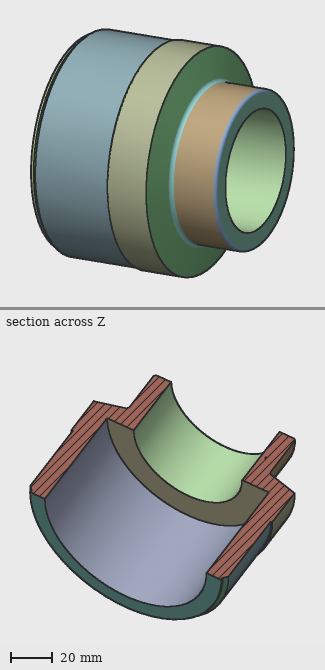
import cadquery as cq
import math

total_length = 93.0
lip_length = 1.5
lip_bevel_length = 2.0
body_end = 43.0
collar_end = 64.0

lip_diameter = 106.0
body_diameter = 110.0
collar_diameter = 111.5
neck_diameter = 78.5

cone_half_angle = 75.0
cone_blend_radius = 2.0
neck_rounding_radius = 1.5

wide_bore_diameter = 89.5
wide_bore_depth = 58.0
narrow_bore_diameter = 60.0


def revolve_about_x(profile):
    """Turn a closed (x, radius) profile around the X axis."""
    return profile.close().revolve(360, (0, 0, 0), (1, 0, 0))


def make_outside():
    """Lipped body, collar, cone and rounded neck as one turned solid."""
    neck_radius = neck_diameter / 2
    collar_radius = collar_diameter / 2
    half_angle = math.radians(cone_half_angle)

    cone_length = (collar_radius - neck_radius) / math.tan(half_angle)
    corner_x = collar_end + cone_length
    tangent_length = cone_blend_radius * math.tan(half_angle / 2)
    blend_start_x = corner_x - tangent_length * math.cos(half_angle)
    blend_start_radius = neck_radius + tangent_length * math.sin(half_angle)
    blend_end_x = corner_x + tangent_length

    profile = (
        cq.Workplane("XY")
        .lineTo(0, lip_diameter / 2)
        .lineTo(lip_length, lip_diameter / 2)
        .lineTo(lip_length + lip_bevel_length, body_diameter / 2)
        .lineTo(body_end, body_diameter / 2)
        .lineTo(body_end, collar_radius)
        .lineTo(collar_end, collar_radius)
        .lineTo(blend_start_x, blend_start_radius)
        .tangentArcPoint((blend_end_x, neck_radius), relative=False)
        .lineTo(total_length - neck_rounding_radius, neck_radius)
        .tangentArcPoint((total_length, neck_radius - neck_rounding_radius), relative=False)
        .lineTo(total_length, 0)
    )
    return revolve_about_x(profile)


def make_bore():
    """Wide bore from the mouth, stepping down to a narrow through bore."""
    wide_bore_radius = wide_bore_diameter / 2
    narrow_bore_radius = narrow_bore_diameter / 2
    profile = (
        cq.Workplane("XY")
        .lineTo(0, wide_bore_radius)
        .lineTo(wide_bore_depth, wide_bore_radius)
        .lineTo(wide_bore_depth, narrow_bore_radius)
        .lineTo(total_length, narrow_bore_radius)
        .lineTo(total_length, 0)
    )
    return revolve_about_x(profile)


result = make_outside().cut(make_bore())